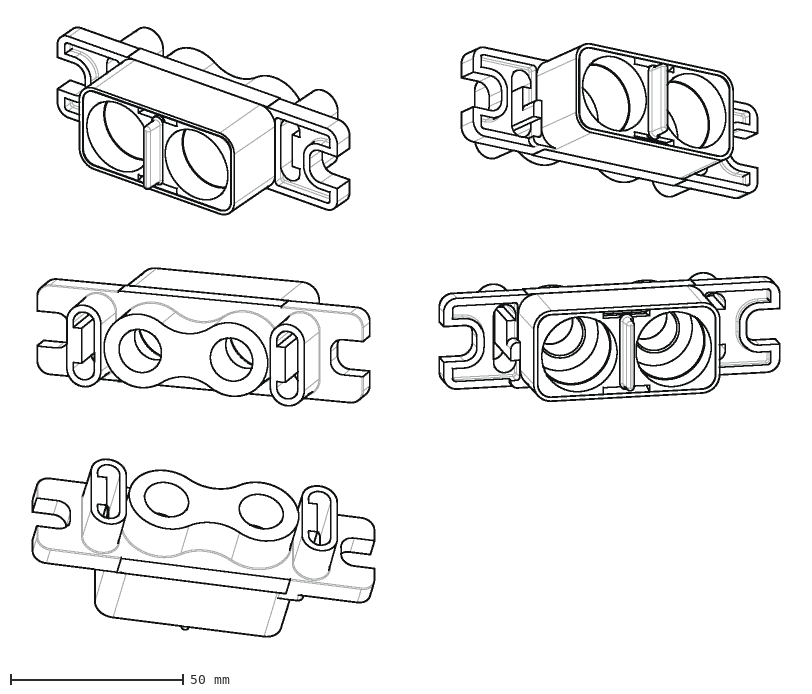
import cadquery as cq
import math


FLANGE_LENGTH = 100.0
FLANGE_HEIGHT = 27.2
FLANGE_DEPTH = 6.4
FLANGE_CORNER = 4.0
FLANGE_BACK_ROUND = 0.3
BAND_LENGTH = 50.0
BAND_HEIGHT = 27.4

FORK_HEIGHT = 10.6
FORK_BOTTOM_X = 40.1
FORK_CORNER = 3.8
FORK_WALL = 2.1
POCKET_DEPTH = 3.0
POCKET_OUTER_X = 47.3
POCKET_INNER_X = 27.9
POCKET_HEIGHT = 22.6
POCKET_CORNER = 1.0
POCKET_FLOOR_ROUND = 0.5

WINDOW_CENTER_X = 31.2
WINDOW_WIDTH = 6.5
WINDOW_HEIGHT = 20.4
COLUMN_WALL = 2.1
COLUMN_HEIGHT = 24.9
COLUMN_BACK_Y = 19.3
COLUMN_TAPER = 0.6
TAB_WIDTH = 2.6
TAB_HEIGHT = 10.6
LATCH_FRONT_Y = -2.5
LATCH_CORNER = 1.9

SLEEVE_LENGTH = 55.5
SLEEVE_HEIGHT = 27.3
SLEEVE_CORNER = 5.4
SLEEVE_TAPER = 0.3
SLEEVE_FRONT_Y = -20.2
SLEEVE_WALL = 1.3

PORT_SPACING = 28.0
SHELL_RADIUS = 11.1
SHELL_TANGENT_X = 7.5
SHELL_BACK_Y = 19.0
BASE_ROUND = 0.3

INSERT_RECESS = 0.3
INSERT_DEPTH = 8.5
PORT_RADIUS = 11.2
PORT_STEP = 0.3
PORT_FLOOR_Y = 4.4
OUTLET_RADIUS = 6.5
OUTLET_CHAMFER = 0.6
NOTCH_LENGTH = 13.8
NOTCH_INNER_Z = 10.4
NOTCH_FLOOR_LENGTH = 12.9
NOTCH_FLOOR_HEIGHT = 0.5
NOTCH_DEPTH = 3.0

BLADE_THICKNESS = 2.6
BLADE_HEIGHT = 21.2
BLADE_TAPER = 2.0
BLADE_TIP_Y = -25.8
BLADE_TIP_ROUND = 0.9
FOOT_MARGIN = 0.7
FOOT_ROUND = 0.6
FOOT_DEPTH = 1.0

INSERT_FRONT_Y = SLEEVE_FRONT_Y + INSERT_RECESS
INSERT_BACK_Y = INSERT_FRONT_Y + INSERT_DEPTH
FLANGE_END_X = FLANGE_LENGTH / 2
PORT_CENTERS = [(-PORT_SPACING / 2, 0), (PORT_SPACING / 2, 0)]
SIDES = (-1, 1)
SELECTION_MARGIN = 0.1


def plane_at(y):
    """Sketch plane seen from the front: local axes are X and Z, extrusion goes to -Y."""
    return cq.Workplane("XZ", origin=(0, y, 0))


def block(x0, x1, y0, y1, z0, z1):
    return cq.Workplane("XY").box(x1 - x0, y1 - y0, z1 - z0, centered=False).translate((x0, y0, z0))


def rounded_block(length, height, corner, y_front, y_back):
    body = plane_at(y_back).rect(length, height).extrude(y_back - y_front)
    return body.edges("|Y").fillet(corner)


def upright_slot(width, height, x, y_front, y_back):
    return plane_at(y_back).center(x, 0).slot2D(height, width, 90).extrude(y_back - y_front)


def port_cylinders(radius, y_front, y_back):
    return plane_at(y_back).pushPoints(PORT_CENTERS).circle(radius).extrude(y_back - y_front)


def fork_tool(side, margin, y_front, y_back):
    """Open-ended mounting slot, grown by a margin all around."""
    bottom_x = FORK_BOTTOM_X - margin
    open_x = FLANGE_END_X + FORK_CORNER
    half_height = FORK_HEIGHT / 2 + margin
    tool = block(bottom_x, open_x, y_front, y_back, -half_height, half_height)
    tool = tool.edges("|Y and <X").fillet(FORK_CORNER + margin)
    return tool if side > 0 else tool.mirror("YZ")


def pocket(side):
    """Flange pocket that leaves a wall around the mounting slot."""
    half_height = POCKET_HEIGHT / 2
    tool = block(POCKET_INNER_X, POCKET_OUTER_X, LATCH_FRONT_Y, POCKET_DEPTH, -half_height, half_height)
    tool = tool.edges("|Y").fillet(POCKET_CORNER)
    if side < 0:
        tool = tool.mirror("YZ")
    tool = tool.cut(fork_tool(side, FORK_WALL, LATCH_FRONT_Y, POCKET_DEPTH))
    return tool.faces(">Y").edges().fillet(POCKET_FLOOR_ROUND)


def window_tool(side):
    """Latch window through the flange and its column, narrowed by a tab on its +X side."""
    center_x = side * WINDOW_CENTER_X
    right_x = center_x + WINDOW_WIDTH / 2
    tool = upright_slot(WINDOW_WIDTH, WINDOW_HEIGHT, center_x, 0, COLUMN_BACK_Y)
    tab = block(right_x - TAB_WIDTH, right_x, 0, COLUMN_BACK_Y, -TAB_HEIGHT / 2, TAB_HEIGHT / 2)
    return tool.cut(tab)


def column(side):
    width = WINDOW_WIDTH + 2 * COLUMN_WALL
    base = plane_at(FLANGE_DEPTH).center(side * WINDOW_CENTER_X, 0).slot2D(COLUMN_HEIGHT, width, 90)
    return base.extrude(FLANGE_DEPTH - COLUMN_BACK_Y, taper=COLUMN_TAPER)


def rear_shell():
    """Two round lobes joined by concave waist arcs tangent to both."""
    lobe_x = PORT_SPACING / 2
    sine = (lobe_x - SHELL_TANGENT_X) / SHELL_RADIUS
    cosine = math.sqrt(1 - sine**2)
    tangent_z = SHELL_RADIUS * cosine
    center_distance = lobe_x / sine
    waist_z = center_distance * cosine - (center_distance - SHELL_RADIUS)
    profile = (
        plane_at(SHELL_BACK_Y)
        .moveTo(-SHELL_TANGENT_X, tangent_z)
        .threePointArc((0, waist_z), (SHELL_TANGENT_X, tangent_z))
        .threePointArc((lobe_x + SHELL_RADIUS, 0), (SHELL_TANGENT_X, -tangent_z))
        .threePointArc((0, -waist_z), (-SHELL_TANGENT_X, -tangent_z))
        .threePointArc((-lobe_x - SHELL_RADIUS, 0), (-SHELL_TANGENT_X, tangent_z))
        .close()
    )
    return profile.extrude(SHELL_BACK_Y - FLANGE_DEPTH)


def round_rear_bases(body):
    """Fillet the columns and the rear shell where they rise from the flange."""
    reach_x = FLANGE_END_X - FLANGE_CORNER
    reach_z = POCKET_HEIGHT / 2 + POCKET_CORNER
    base_edges = cq.selectors.BoxSelector(
        (-reach_x, FLANGE_DEPTH - SELECTION_MARGIN, -reach_z),
        (reach_x, FLANGE_DEPTH + SELECTION_MARGIN, reach_z),
    )
    return body.edges(base_edges).fillet(BASE_ROUND)


def sleeve():
    outline = cq.Sketch().rect(SLEEVE_LENGTH, SLEEVE_HEIGHT).vertices().fillet(SLEEVE_CORNER)
    return plane_at(0).placeSketch(outline).extrude(-SLEEVE_FRONT_Y, taper=SLEEVE_TAPER)


def latch_post():
    """Raised block on the -X latch tab, standing in front of the flange."""
    right_x = -POCKET_INNER_X
    left_x = -WINDOW_CENTER_X + WINDOW_WIDTH / 2 - TAB_WIDTH
    post = block(left_x, right_x, LATCH_FRONT_Y, POCKET_DEPTH, -TAB_HEIGHT / 2, 0)
    return post.edges("|Y and <X and >Z").fillet(LATCH_CORNER)


def latch_guard():
    """Raised corner beside the sleeve, below the latch post."""
    left_x = -WINDOW_CENTER_X + WINDOW_WIDTH / 2 - TAB_WIDTH
    guard = block(left_x, -SLEEVE_LENGTH / 2 + SLEEVE_CORNER, LATCH_FRONT_Y, 0, -FLANGE_HEIGHT / 2, 0)
    return guard.edges("|Y and <X and <Z").fillet(LATCH_CORNER)


def sleeve_opening(y_front):
    """Rounded block that fills the sleeve from a front level to the cavity floor."""
    return rounded_block(
        SLEEVE_LENGTH - 2 * SLEEVE_WALL,
        SLEEVE_HEIGHT - 2 * SLEEVE_WALL,
        SLEEVE_CORNER - SLEEVE_WALL,
        y_front,
        INSERT_BACK_Y,
    )


def blade_foot():
    return upright_slot(
        BLADE_THICKNESS + 2 * FOOT_MARGIN,
        BLADE_HEIGHT + 2 * FOOT_MARGIN,
        0,
        INSERT_FRONT_Y,
        INSERT_FRONT_Y + FOOT_DEPTH,
    )


def notch_tool():
    """Notch along the upper insert edge, tapering to a narrow floor."""
    mouth_height = SLEEVE_HEIGHT / 2 - SLEEVE_WALL - NOTCH_INNER_Z
    return (
        plane_at(INSERT_FRONT_Y)
        .center(0, NOTCH_INNER_Z + mouth_height / 2)
        .rect(NOTCH_LENGTH, mouth_height)
        .workplane(offset=-NOTCH_DEPTH)
        .center(0, (NOTCH_FLOOR_HEIGHT - mouth_height) / 2)
        .rect(NOTCH_FLOOR_LENGTH, NOTCH_FLOOR_HEIGHT)
        .loft(ruled=True)
    )


def make_housing():
    body = rounded_block(FLANGE_LENGTH, FLANGE_HEIGHT, FLANGE_CORNER, 0, FLANGE_DEPTH)
    body = body.faces(">Y").edges().fillet(FLANGE_BACK_ROUND)
    half_band = BAND_LENGTH / 2
    body = body.union(block(-half_band, half_band, 0, FLANGE_DEPTH, -BAND_HEIGHT / 2, BAND_HEIGHT / 2))
    body = body.union(rear_shell()).union(latch_guard())
    for side in SIDES:
        body = body.union(column(side))
    body = round_rear_bases(body)
    for side in SIDES:
        body = body.cut(pocket(side))
        body = body.cut(fork_tool(side, 0, 0, FLANGE_DEPTH))
        body = body.cut(window_tool(side))
    body = body.union(latch_post())
    body = body.union(sleeve())
    body = body.cut(sleeve_opening(SLEEVE_FRONT_Y))
    body = body.cut(port_cylinders(PORT_RADIUS - PORT_STEP, INSERT_BACK_Y, PORT_FLOOR_Y))
    body = body.cut(port_cylinders(OUTLET_RADIUS, PORT_FLOOR_Y, SHELL_BACK_Y))
    for x, z in PORT_CENTERS:
        countersink = cq.Solid.makeCone(
            OUTLET_RADIUS + OUTLET_CHAMFER,
            OUTLET_RADIUS,
            OUTLET_CHAMFER,
            pnt=cq.Vector(x, PORT_FLOOR_Y, z),
            dir=cq.Vector(0, 1, 0),
        )
        body = body.cut(cq.Workplane(countersink))
    return body


def make_insert():
    body = sleeve_opening(INSERT_FRONT_Y)
    body = body.cut(port_cylinders(PORT_RADIUS, INSERT_FRONT_Y, INSERT_BACK_Y))
    notch = notch_tool()
    body = body.cut(notch).cut(notch.mirror("XY"))
    return body.cut(blade_foot())


def make_blade():
    """Tapered blade with rounded ends and tip, filleted into a foot sunk in the insert."""
    body = (
        plane_at(INSERT_FRONT_Y)
        .slot2D(BLADE_HEIGHT, BLADE_THICKNESS, 90)
        .extrude(INSERT_FRONT_Y - BLADE_TIP_Y, taper=BLADE_TAPER)
        .faces("<Y")
        .edges()
        .fillet(BLADE_TIP_ROUND)
        .union(blade_foot())
    )
    reach_x = (BLADE_THICKNESS + FOOT_MARGIN) / 2
    reach_z = (BLADE_HEIGHT + FOOT_MARGIN) / 2
    root = cq.selectors.BoxSelector(
        (-reach_x, INSERT_FRONT_Y - SELECTION_MARGIN, -reach_z),
        (reach_x, INSERT_FRONT_Y + SELECTION_MARGIN, reach_z),
        boundingbox=True,
    )
    return body.edges(root).fillet(FOOT_ROUND)


housing = make_housing()
insert = make_insert()
blade = make_blade()

result = cq.Compound.makeCompound([housing.val(), insert.val(), blade.val()])